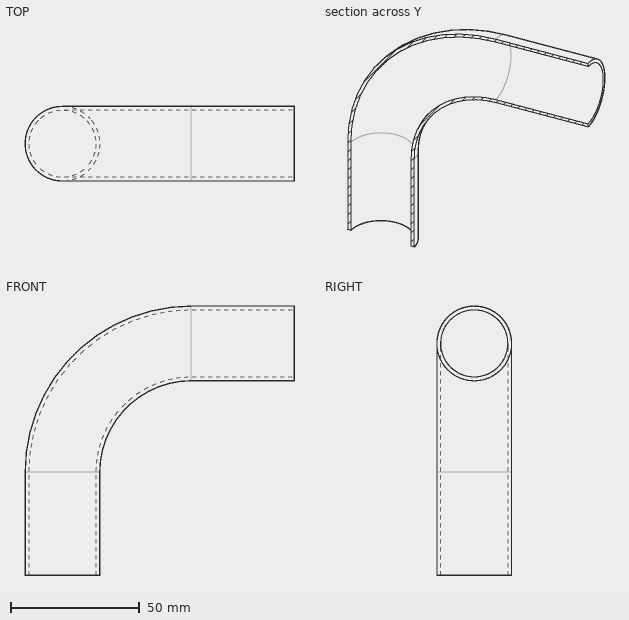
import cadquery as cq

overall_size = 104.5
outer_diameter = 29.0
bore_diameter = 26.0
leg_length = 40.0

outer_radius = outer_diameter / 2
bend_radius = overall_size - leg_length - outer_radius


def leg(plane):
    """Straight length of tube from the given plane along its normal."""
    return (
        cq.Workplane(plane)
        .circle(outer_radius)
        .circle(bore_diameter / 2)
        .extrude(leg_length)
    )


upright_leg = leg(cq.Plane.XY())

bend = (
    cq.Workplane("XY", origin=(0, 0, leg_length))
    .circle(outer_radius)
    .circle(bore_diameter / 2)
    .revolve(90, (bend_radius, 0), (bend_radius, 1))
)

bend_end = (bend_radius, 0, leg_length + bend_radius)
level_leg = leg(cq.Plane.YZ(origin=bend_end))

result = upright_leg.union(bend).union(level_leg)